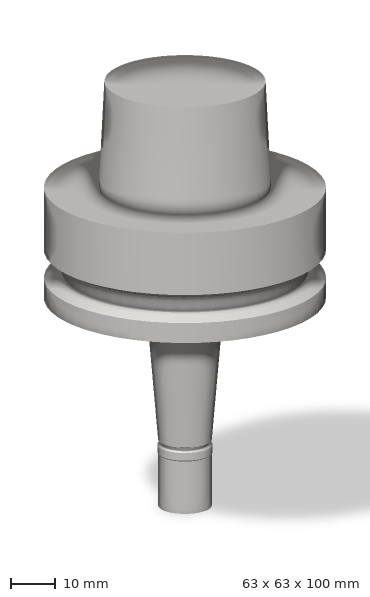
import cadquery as cq


shank_top_dia = 36.0
shank_base_dia = 38.3
shank_height = 25.0
shank_land_height = 2.0

flange_dia = 63.0
flange_thickness = 26.0
groove_dia = 55.0
groove_floor_width = 3.6
groove_center_depth = 18.0
groove_slope_width = 2.9
groove_slope_height = 1.5

flare_top_dia = 26.4
flare_height = 4.5
neck_top_dia = 16.9
neck_bottom_dia = 12.0
neck_bottom_depth = 59.4

relief_dia = 10.5
relief_width = 0.9
relief_slope_height = 0.3
collar_dia = 12.3
collar_height = 2.4
collar_chamfer = 0.3
cutter_dia = 12.0
total_depth = 75.0


def frustum(z_low, dia_low, z_high, dia_high):
    """Solid of revolution between two levels on the Z axis."""
    outline = [(0, z_low), (dia_low / 2, z_low), (dia_high / 2, z_high), (0, z_high)]
    return cq.Workplane("XZ").polyline(outline).close().revolve(360, (0, 0), (0, 1))


def make_shank():
    land = frustum(0, shank_base_dia, shank_land_height, shank_base_dia)
    taper = frustum(shank_land_height, shank_base_dia, shank_height, shank_top_dia)
    return land.union(taper)


def make_flange():
    groove_top = -groove_center_depth + groove_floor_width / 2
    groove_bottom = -groove_center_depth - groove_floor_width / 2
    slope_dia = flange_dia - 2 * groove_slope_width
    upper_edge = groove_top + groove_slope_height
    lower_edge = groove_bottom - groove_slope_height

    flange = frustum(upper_edge, flange_dia, 0, flange_dia)
    flange = flange.union(frustum(groove_top, slope_dia, upper_edge, flange_dia))
    flange = flange.union(frustum(groove_bottom, groove_dia, groove_top, groove_dia))
    flange = flange.union(frustum(lower_edge, flange_dia, groove_bottom, slope_dia))
    return flange.union(frustum(-flange_thickness, flange_dia, lower_edge, flange_dia))


def make_neck():
    flare_bottom = -flange_thickness - flare_height
    flare = frustum(flare_bottom, neck_top_dia, -flange_thickness, flare_top_dia)
    taper = frustum(-neck_bottom_depth, neck_bottom_dia, flare_bottom, neck_top_dia)
    return flare.union(taper)


def make_tip():
    collar_top = -neck_bottom_depth - relief_width
    collar_bottom = collar_top - collar_height
    relief = frustum(collar_top, relief_dia, -neck_bottom_depth, relief_dia)
    collar = frustum(collar_bottom, collar_dia, collar_top, collar_dia)
    collar = collar.faces("<Z or >Z").edges().chamfer(collar_chamfer)
    slope_bottom = -neck_bottom_depth - relief_slope_height
    slope = frustum(slope_bottom, relief_dia, -neck_bottom_depth, neck_bottom_dia)
    cutter = frustum(-total_depth, cutter_dia, collar_bottom, cutter_dia)
    return relief.union(slope).union(collar).union(cutter)


result = make_shank().union(make_flange()).union(make_neck()).union(make_tip())